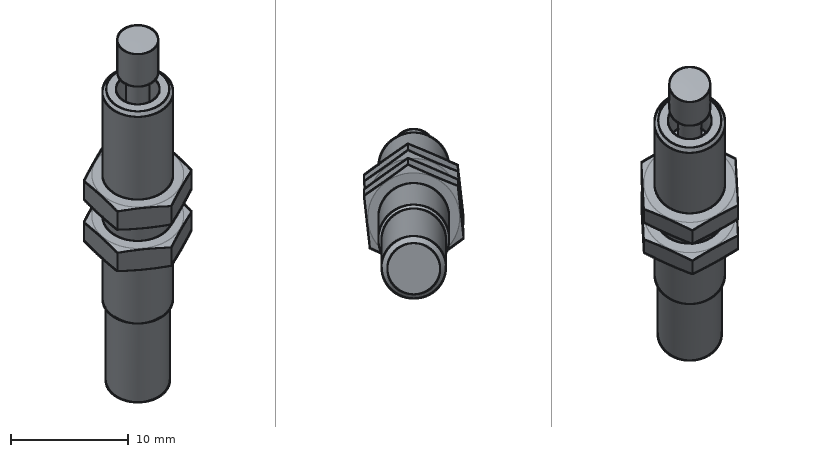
import cadquery as cq
import math

TOTAL_HEIGHT = 41.5
TAIL_LENGTH = 10.0
BARREL_TOP = 35.5
CAP_HEIGHT = 4.0
CAP_BOTTOM = TOTAL_HEIGHT - CAP_HEIGHT

BARREL_RADIUS = 6.0 / 2
TAIL_RADIUS = 5.48 / 2
BORE_RADIUS = 3.7 / 2
CAP_RADIUS = 3.5 / 2
ROD_RADIUS = 2.0 / 2
BORE_DEPTH = CAP_HEIGHT
TAIL_CHAMFER = 0.5
BARREL_RIM_RADIUS = 5.35 / 2
BARREL_CHAMFER = BARREL_RADIUS - BARREL_RIM_RADIUS
CAP_CROWN = 0.1

NUT_FLATS = 8.0
NUT_CORNERS = NUT_FLATS / math.cos(math.radians(30))
NUT_HEIGHT = 2.5
NUT_FACE_RADIUS = 7.8 / 2
NUT_CHAMFER_HEIGHT = 0.145
NUT_COUNT = 2
NUT_PITCH = 5.0
LOWER_NUT_BOTTOM = 17.7


def make_plunger_body():
    """Stepped barrel with an open bore, a central rod and a slightly crowned cap."""
    bore_floor = BARREL_TOP - BORE_DEPTH
    barrel_bottom_chamfer = BARREL_RADIUS - TAIL_RADIUS
    return (
        cq.Workplane("XZ")
        .moveTo(0, 0)
        .lineTo(TAIL_RADIUS - TAIL_CHAMFER, 0)
        .lineTo(TAIL_RADIUS, TAIL_CHAMFER)
        .lineTo(TAIL_RADIUS, TAIL_LENGTH)
        .lineTo(BARREL_RADIUS, TAIL_LENGTH + barrel_bottom_chamfer)
        .lineTo(BARREL_RADIUS, BARREL_TOP - BARREL_CHAMFER)
        .lineTo(BARREL_RIM_RADIUS, BARREL_TOP)
        .lineTo(BORE_RADIUS, BARREL_TOP)
        .lineTo(BORE_RADIUS, bore_floor)
        .lineTo(ROD_RADIUS, bore_floor)
        .lineTo(ROD_RADIUS, CAP_BOTTOM)
        .lineTo(CAP_RADIUS, CAP_BOTTOM)
        .lineTo(CAP_RADIUS, TOTAL_HEIGHT - CAP_CROWN)
        .lineTo(0, TOTAL_HEIGHT)
        .close()
        .revolve(360, (0, 0), (0, 1))
    )


def make_nut(bottom):
    """Hexagonal nut with flats facing +X and -X and conically chamfered corners."""
    corner_radius = NUT_CORNERS / 2
    hexagon = (
        cq.Workplane("XY")
        .polygon(6, NUT_CORNERS)
        .extrude(NUT_HEIGHT)
        .rotate((0, 0, 0), (0, 0, 1), 90)
    )
    chamfer_envelope = (
        cq.Workplane("XZ")
        .moveTo(0, 0)
        .lineTo(NUT_FACE_RADIUS, 0)
        .lineTo(corner_radius, NUT_CHAMFER_HEIGHT)
        .lineTo(corner_radius, NUT_HEIGHT - NUT_CHAMFER_HEIGHT)
        .lineTo(NUT_FACE_RADIUS, NUT_HEIGHT)
        .lineTo(0, NUT_HEIGHT)
        .close()
        .revolve(360, (0, 0), (0, 1))
    )
    bore = cq.Workplane("XY").circle(BARREL_RADIUS).extrude(NUT_HEIGHT)
    return hexagon.intersect(chamfer_envelope).cut(bore).translate((0, 0, bottom))


plunger_body = make_plunger_body()
nuts = [make_nut(LOWER_NUT_BOTTOM + index * NUT_PITCH) for index in range(NUT_COUNT)]

result = cq.Compound.makeCompound([plunger_body.val(), *(nut.val() for nut in nuts)])